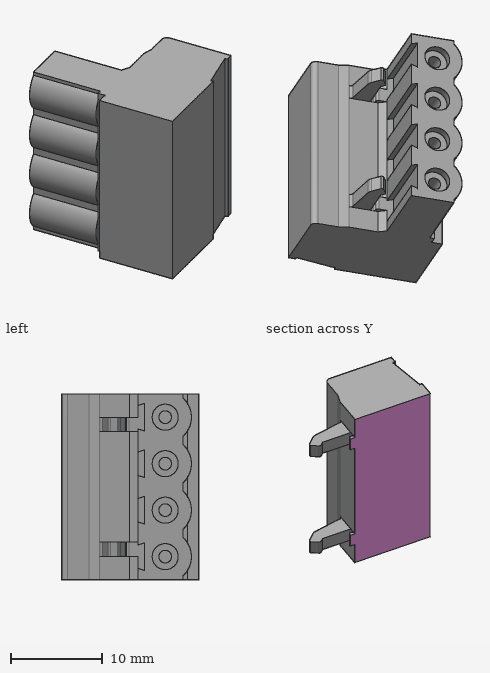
import cadquery as cq


length = 18.2
depth = 15.0
pole_count = 4
pole_pitch = 5.08
height = pole_count * pole_pitch
pole_heights = [(i + 0.5) * pole_pitch for i in range(pole_count)]

shoulder_x = 9.15
neck_x = 8.82
nose_length = 8.27
step_y = 1.24
nose_top_y = 6.66
neck_slope_top_y = 7.55
neck_top_y = 10.87
shoulder_y = 11.99
corner_radius = 0.63

ledge_y = 9.4
ledge_width = 0.3
lip_x = 17.4
lip_height = 0.7
bead_overhang = 0.08
bead_height = 0.1
undercut_x = 17.1
undercut_height = 0.1

barrel_radius = 2.87
barrel_y = 3.68
valley_y = 1.75

entry_radius = 1.42
entry_depth = 0.93
contact_radius = 0.7
contact_depth = nose_length

slot_depth = 0.71
slot_mouth_width = 2.56
slot_floor_width = 3.0

latch_width = 1.56
latch_edge_distance = 2.56
latch_heights = [latch_edge_distance, height - latch_edge_distance - latch_width]
latch_root_top_y = 10.57
latch_root_radius = 0.3
latch_underside_y = 8.43
latch_bend = (4.95, 9.85)
latch_bend_radius = 1.02
latch_nose_x = 3.88
latch_nose_top_y = 8.84
latch_nose_bottom_y = 8.6
barb_tip = (4.8, 7.99)
barb_tip_radius = 0.2
barb_end_x = 5.32
block_top_y = 7.88
block_corner_radius = 0.25
inner_corner_radius = 0.18


def fillet_upright_edge(body, corner, z, radius):
    """Round the edge parallel to Z that passes through an XY corner near height z."""
    edge = cq.selectors.NearestToPointSelector((*corner, z))
    return body.edges(edge).fillet(radius)


def make_housing():
    """Housing profile extruded over the full height, without the nose."""
    bead_y = depth - lip_height - bead_height
    undercut_y = bead_y - undercut_height
    profile = [
        (shoulder_x, 0),
        (length, 0),
        (length, ledge_y),
        (length - ledge_width, ledge_y),
        (undercut_x, undercut_y),
        (lip_x + bead_overhang, bead_y),
        (lip_x, depth - lip_height),
        (lip_x, depth),
        (shoulder_x, depth),
        (shoulder_x, shoulder_y),
        (neck_x, neck_top_y),
        (neck_x, neck_slope_top_y),
        (nose_length, nose_top_y),
        (nose_length, step_y),
        (shoulder_x, step_y),
    ]
    housing = cq.Workplane("XY").polyline(profile).close().extrude(height)
    return fillet_upright_edge(housing, (shoulder_x, depth), height / 2, corner_radius)


def make_nose():
    """Block carrying the four rounded barrels."""
    nose = cq.Workplane("XY").box(nose_length, nose_top_y - valley_y, height, centered=False)
    nose = nose.translate((0, valley_y, 0))
    barrel_centers = [(barrel_y, z) for z in pole_heights]
    barrels = cq.Workplane("YZ").pushPoints(barrel_centers).circle(barrel_radius).extrude(nose_length)
    segment_zone = cq.Workplane("XY").box(nose_length, barrel_y, height, centered=False)
    return nose.union(barrels.intersect(segment_zone))


def make_contact_openings():
    centers = cq.Workplane("YZ").pushPoints([(barrel_y, z) for z in pole_heights])
    entries = centers.circle(entry_radius).extrude(entry_depth)
    return entries.union(centers.circle(contact_radius).extrude(contact_depth))


def make_keying_slot(z):
    """Dovetail slot, wider at its floor, running along the nose at height z."""
    floor_y = nose_top_y - slot_depth
    profile = [
        (nose_top_y, z - slot_mouth_width / 2),
        (nose_top_y, z + slot_mouth_width / 2),
        (floor_y, z + slot_floor_width / 2),
        (floor_y, z - slot_floor_width / 2),
    ]
    return cq.Workplane("YZ").polyline(profile).close().extrude(nose_length)


def make_latch(z):
    """Hooked latch arm and the stop block below it, growing from the neck above height z."""
    root_top = (neck_x, latch_root_top_y)
    root_bottom = (neck_x, latch_underside_y)
    block_inner = (neck_x, block_top_y)
    block_outer = (nose_length, block_top_y)
    profile = [
        (shoulder_x, neck_top_y),
        (neck_x, neck_top_y),
        root_top,
        latch_bend,
        (latch_nose_x, latch_nose_top_y),
        (latch_nose_x, latch_nose_bottom_y),
        barb_tip,
        (barb_end_x, latch_underside_y),
        root_bottom,
        block_inner,
        block_outer,
        (nose_length, nose_top_y),
        (shoulder_x, nose_top_y),
    ]
    corner_radii = [
        (root_top, latch_root_radius),
        (latch_bend, latch_bend_radius),
        (barb_tip, barb_tip_radius),
        (root_bottom, inner_corner_radius),
        (block_inner, inner_corner_radius),
        (block_outer, block_corner_radius),
    ]
    latch = cq.Workplane("XY").workplane(offset=z).polyline(profile).close().extrude(latch_width)
    for corner, radius in corner_radii:
        latch = fillet_upright_edge(latch, corner, z + latch_width / 2, radius)
    return latch


result = make_housing().union(make_nose())
for latch_z in latch_heights:
    result = result.union(make_latch(latch_z))
for pole_z in pole_heights:
    result = result.cut(make_keying_slot(pole_z))
result = result.cut(make_contact_openings())